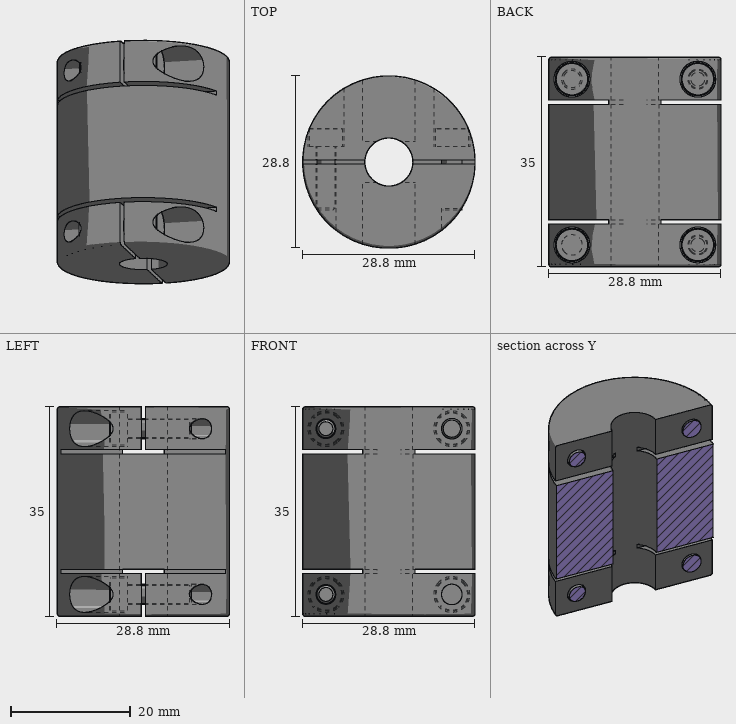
import cadquery as cq

length = 35
diameter = 28.8
bore_diameter = 7.98
rim_fillet = 0.5

cut_width = 0.7
clamp_length = 7.18
web_width = 8.75
web_gap = 6.9

screw_offset = 10.5
screw_end_distance = 3.68
tip_y = -8.0
head_top_y = 5.65
head_height = 3.0
head_diameter = 5.53
head_chamfer = 0.15
counterbore_diameter = 6.0
tip_chamfer = 0.35
loose_hole_diameter = 3.3
loose_screw_diameter = 3.0
tight_screw_diameter = 3.43
tight_tip_chamfer = 0.28

seat_y = head_top_y - head_height
clamp_z = length / 2 - screw_end_distance
flexure_z = length / 2 - clamp_length - cut_width / 2


def rod_along_y(rod_diameter, x, z, start_y, end_y):
    """Cylinder parallel to Y between two Y positions."""
    rod = cq.Workplane("XZ").circle(rod_diameter / 2).extrude(start_y - end_y)
    return rod.translate((x, start_y, z))


def make_body():
    """Bored cylinder with rounded outer rims."""
    cylinder = cq.Workplane("XY").circle(diameter / 2).extrude(length / 2, both=True)
    cylinder = cylinder.faces("|Z").edges().fillet(rim_fillet)
    bore = cq.Workplane("XY").circle(bore_diameter / 2).extrude(length / 2, both=True)
    return cylinder.cut(bore)


def make_flexure_cut(z):
    """Horizontal cut that leaves one web at the front and one at the back."""
    disc = cq.Workplane("XY").box(diameter + cut_width, diameter + cut_width, cut_width)
    webs = cq.Workplane("XY").box(web_width, diameter + cut_width, cut_width)
    gap = cq.Workplane("XY").box(web_width, web_gap, cut_width)
    return disc.cut(webs.cut(gap)).translate((0, 0, z))


def make_clamp_slit(side):
    """Vertical slit through the bore, from the end face to the flexure cut."""
    slit = cq.Workplane("XY").box(diameter + cut_width, cut_width, clamp_length)
    return slit.translate((0, 0, side * (length - clamp_length) / 2))


def make_screw_hole(hole_diameter, x, z):
    """Through hole with a counterbore opening at the +Y side."""
    hole = rod_along_y(hole_diameter, x, z, diameter / 2, -diameter / 2)
    counterbore = rod_along_y(counterbore_diameter, x, z, diameter / 2, seat_y)
    return hole.union(counterbore)


def make_screw(shank_diameter, chamfer, x, z):
    """Cap screw seated on the counterbore floor; a zero chamfer gives a flat tip."""
    shank = rod_along_y(shank_diameter, x, z, seat_y, tip_y)
    if chamfer > 0:
        shank = shank.faces("<Y").chamfer(chamfer)
    head = rod_along_y(head_diameter, x, z, head_top_y, seat_y)
    head = head.faces(">Y").chamfer(head_chamfer)
    return shank.union(head)


result = make_body()

for end in (1, -1):
    result = result.cut(make_flexure_cut(end * flexure_z))
    result = result.cut(make_clamp_slit(end))

for end, tight_chamfer in ((1, tight_tip_chamfer), (-1, 0)):
    screw_z = end * clamp_z
    result = result.cut(make_screw_hole(loose_hole_diameter, -screw_offset, screw_z))
    result = result.union(make_screw(loose_screw_diameter, tip_chamfer, -screw_offset, screw_z))
    result = result.cut(make_screw_hole(tight_screw_diameter, screw_offset, screw_z))
    result = result.union(make_screw(tight_screw_diameter, tight_chamfer, screw_offset, screw_z))